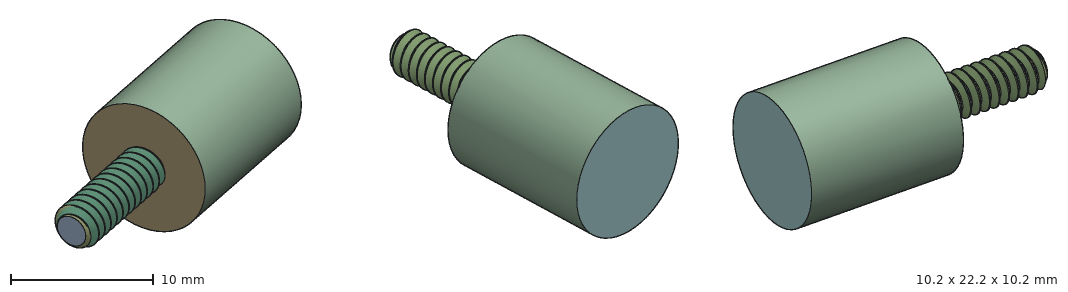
import cadquery as cq
import math

total_length = 22.23
body_diameter = 10.15
stud_length = 9.54
body_length = total_length - stud_length

major_radius = 1.75
thread_turns = 12
thread_pitch = stud_length / thread_turns
flank_half_angle = math.radians(30)
sharp_height = thread_pitch / 2 / math.tan(flank_half_angle)
minor_radius = major_radius - sharp_height * 3 / 4
crest_width = thread_pitch / 8
crest_offset = -0.02
tip_radius = 1.18
core_overlap = 0.07
ridge_foot_radius = minor_radius - core_overlap
ridge_foot_width = crest_width + 2 * (major_radius - ridge_foot_radius) * math.tan(flank_half_angle)
envelope_clearance = 0.22
envelope_radius = major_radius + envelope_clearance
body_overlap = 0.22


def make_body():
    """Plain cylinder from the stud face toward +Y."""
    return cq.Workplane("XZ").circle(body_diameter / 2).extrude(-body_length)


def make_tip_envelope():
    """Oversized cylinder along +Z, ended by the 45 degree cone at the stud tip."""
    return (
        cq.Workplane("XY", origin=(0, 0, -body_overlap))
        .circle(envelope_radius)
        .extrude(stud_length + body_overlap)
        .faces(">Z")
        .chamfer(envelope_radius - tip_radius)
    )


def make_thread_ridge():
    """Helical ridge along +Z that runs past both ends of the stud."""
    start = crest_offset - thread_pitch
    length = stud_length + 3 * thread_pitch
    helix = cq.Wire.makeHelix(thread_pitch, length, minor_radius, center=cq.Vector(0, 0, start))
    profile = [
        (ridge_foot_radius, start - ridge_foot_width / 2),
        (major_radius, start - crest_width / 2),
        (major_radius, start + crest_width / 2),
        (ridge_foot_radius, start + ridge_foot_width / 2),
    ]
    return cq.Workplane("XZ").polyline(profile).close().sweep(cq.Workplane(helix), isFrenet=True)


def make_stud():
    """Threaded stud turned from +Z to point toward -Y."""
    core_end = 3 * thread_pitch
    core = (
        cq.Workplane("XY", origin=(0, 0, -core_end))
        .circle(minor_radius)
        .extrude(stud_length + 2 * core_end)
    )
    stud = core.union(make_thread_ridge()).intersect(make_tip_envelope())
    return stud.rotate((0, 0, 0), (1, 0, 0), 90)


result = make_body().union(make_stud())